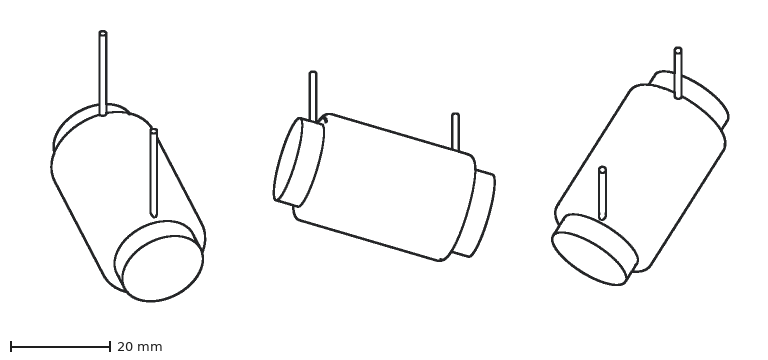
import cadquery as cq

core_length = 41.15
core_diameter = 17.3
winding_length = 31.85
winding_diameter = 22.4
total_height = 44.6
lead_diameter = 1.4
edge_radius = 1.35

core_radius = core_diameter / 2
winding_radius = winding_diameter / 2
lead_top = total_height - winding_radius
lead_offset = (winding_length - lead_diameter) / 2
lead_bottom = winding_radius - edge_radius


def cylinder_along_x(length, radius):
    """Cylinder centred on the origin, revolved about the X axis."""
    return (
        cq.Workplane("XY")
        .center(0, -radius / 2)
        .rect(length, radius)
        .revolve(360, (0, radius / 2, 0), (1, radius / 2, 0))
    )


def lead(x):
    """Vertical wire rising out of the rounded edge of the winding."""
    return (
        cq.Workplane("XY", origin=(x, 0, lead_bottom))
        .circle(lead_diameter / 2)
        .extrude(lead_top - lead_bottom)
        .rotate((x, 0, 0), (x, 0, 1), 180)
    )


winding = cylinder_along_x(winding_length, winding_radius).edges("%CIRCLE").fillet(edge_radius)

result = winding.union(cylinder_along_x(core_length, core_radius))

for x in (-lead_offset, lead_offset):
    result = result.union(lead(x))